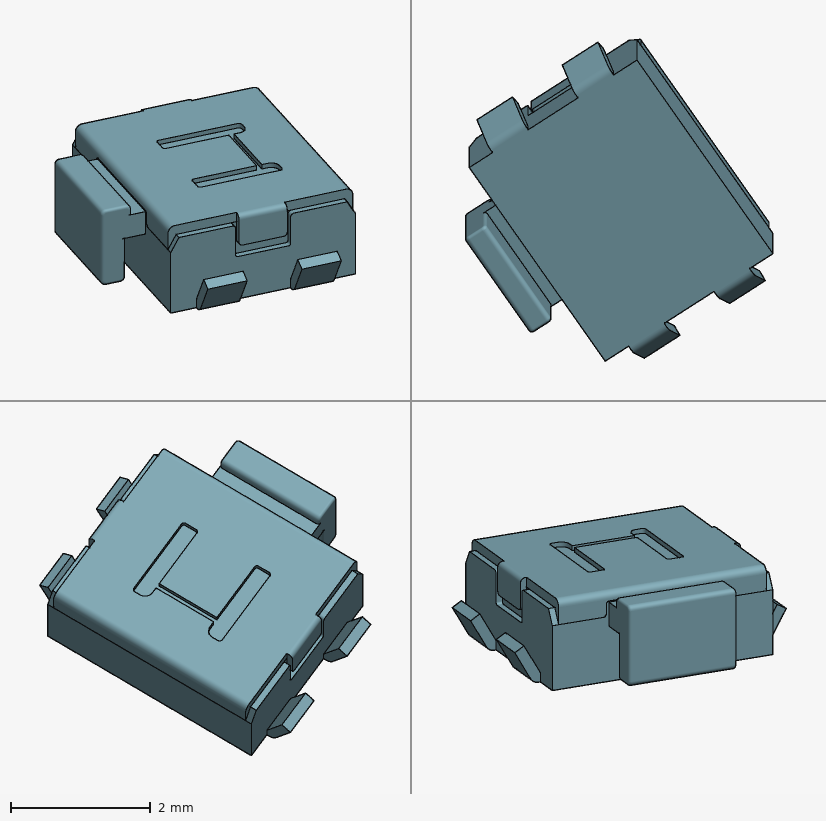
import cadquery as cq
import math

leg_span = 4.31
height = 1.36
base_width = 3.5
base_depth = 2.895

cover_inset = 0.1
cover_thickness = 0.15
cover_edge_radius = 0.11
skirt_drop = 0.37
skirt_slope_run = 0.13
notch_half_width = 0.892
notch_ceiling_drop = 0.135
notch_radius = 0.047

tab_width = 0.755
tab_drop = 0.495
tab_top_radius = 0.08
tab_corner_radius = 0.055
slot_half_width = 0.43
slot_drop = 0.67
slot_mouth_radius = 0.05
slot_corner_radius = 0.035

groove_depth = 0.075
strip_inner_x = 0.495
strip_outer_x = 0.76
strip_front_y = -0.575
strip_back_y = 0.75
strip_corner_radius = 0.04
strip_back_radius = 0.05
strip_inner_radius = 0.13
bar_front_y = 0.45
bar_back_y = 0.53

button_half_width = 0.855
button_reach = 0.685
stem_bottom = 0.845
head_bottom = 0.14
head_upper_gap = 0.22
head_lower_gap = 0.315
head_edge_radius = 0.075
head_end_radius = 0.045

leg_width = 0.615
leg_pitch = 1.475
leg_thickness = 0.17
leg_angle = math.radians(60)
leg_tip_rise = 0.51
leg_bend_radius = 0.14
leg_root = 0.085

half_width = base_width / 2
half_depth = base_depth / 2
front_y = -half_depth
cover_half_width = half_width - cover_inset
groove_heights = (height - groove_depth, height)
base_top = height - cover_thickness
skirt_bottom = height - skirt_drop
slope_y = half_depth - skirt_slope_run


def box(x_range, y_range, z_range):
    """Box spanning the three (low, high) ranges."""
    size = [high - low for low, high in (x_range, y_range, z_range)]
    corner = (x_range[0], y_range[0], z_range[0])
    return cq.Workplane("XY").box(*size, centered=False).translate(corner)


def flared_notch(plane, half_opening, mouth, floor, flare, corner):
    """Sketch a notch between heights mouth and floor: rounded-out lips, rounded-in corners."""
    inward = 1 if floor > mouth else -1
    bulge = 1 - math.sqrt(0.5)
    lip = mouth + inward * flare
    lip_middle = mouth + inward * flare * bulge
    turn = floor - inward * corner
    turn_middle = floor - inward * corner * bulge
    return (
        cq.Workplane(plane)
        .moveTo(-half_opening - flare, mouth)
        .threePointArc((-half_opening - flare * bulge, lip_middle), (-half_opening, lip))
        .lineTo(-half_opening, turn)
        .threePointArc((-half_opening + corner * bulge, turn_middle), (-half_opening + corner, floor))
        .lineTo(half_opening - corner, floor)
        .threePointArc((half_opening - corner * bulge, turn_middle), (half_opening, turn))
        .lineTo(half_opening, lip)
        .threePointArc((half_opening + flare * bulge, lip_middle), (half_opening + flare, mouth))
        .close()
    )


def make_tab():
    """Tab on the -X end of the cover, flush with the side of the base."""
    tab = box((-half_width, -cover_half_width), (-tab_width / 2, tab_width / 2), (height - tab_drop, height))
    tab = tab.edges("|X and <Z").fillet(tab_corner_radius)
    return tab.edges("<X and >Z").fillet(tab_top_radius)


def make_strip():
    """Cutter for the groove strip on the +X side."""
    strip = box((strip_inner_x, strip_outer_x), (strip_front_y, strip_back_y), groove_heights)
    strip = strip.edges("|Z and <Y").fillet(strip_corner_radius)
    strip = strip.edges("|Z and >X and >Y").fillet(strip_back_radius)
    return strip.edges("|Z and <X and >Y").fillet(strip_inner_radius)


def make_cover():
    profile = [
        (-half_depth, skirt_bottom),
        (-slope_y, base_top),
        (slope_y, base_top),
        (half_depth, skirt_bottom),
        (half_depth, height),
        (-half_depth, height),
    ]
    cover = cq.Workplane("YZ").polyline(profile).close().extrude(cover_half_width, both=True)
    cover = cover.edges("|X and >Z").fillet(cover_edge_radius)

    notch = flared_notch(
        "XZ", notch_half_width, skirt_bottom, height - notch_ceiling_drop, notch_radius, notch_radius
    ).extrude(skirt_slope_run).translate((0, -slope_y, 0))
    cover = cover.cut(notch)

    tab = make_tab()
    cover = cover.union(tab).union(tab.mirror("YZ"))

    strip = make_strip()
    bar = box((-strip_inner_x, strip_inner_x), (bar_front_y, bar_back_y), groove_heights)
    return cover.cut(strip).cut(strip.mirror("YZ")).cut(bar)


def make_leg():
    """Leg on the -X side, centred on Y = 0."""
    tip_x = -leg_span / 2
    cos_a = math.cos(leg_angle)
    sin_a = math.sin(leg_angle)
    tip_inner_x = tip_x + leg_thickness * sin_a
    tip_inner_z = leg_tip_rise + leg_thickness * cos_a
    heel_x = tip_x + leg_tip_rise / math.tan(leg_angle)
    root_x = -half_width + leg_root
    crotch_z = tip_inner_z - (-half_width - tip_inner_x) * math.tan(leg_angle)
    outline = [
        (root_x, 0),
        (heel_x, 0),
        (tip_x, leg_tip_rise),
        (tip_inner_x, tip_inner_z),
        (-half_width, crotch_z),
        (root_x, crotch_z),
    ]
    leg = cq.Workplane("XZ").polyline(outline).close().extrude(leg_width / 2, both=True)
    heel = cq.selectors.NearestToPointSelector((heel_x, 0, 0))
    return leg.edges("|Y").edges(heel).fillet(leg_bend_radius)


def make_button():
    head_front = front_y - button_reach
    lip_back = front_y - head_upper_gap
    plate_back = front_y - head_lower_gap
    profile = [
        (head_front, head_bottom),
        (head_front, height),
        (lip_back, height),
        (lip_back, stem_bottom),
        (plate_back, stem_bottom),
        (plate_back, head_bottom),
    ]
    head = cq.Workplane("YZ").polyline(profile).close().extrude(button_half_width, both=True)
    head = head.edges("|X and (>Z or <Z)").fillet(head_edge_radius)
    head = head.faces("<X or >X").edges().fillet(head_end_radius)

    stem = box(
        (-button_half_width, button_half_width),
        (head_front + head_edge_radius, front_y),
        (stem_bottom, base_top),
    )
    return head.union(stem)


def make_base(cover):
    profile = [
        (-half_depth, 0),
        (-half_depth, skirt_bottom),
        (-slope_y, base_top),
        (slope_y, base_top),
        (half_depth, skirt_bottom),
        (half_depth, 0),
    ]
    base = cq.Workplane("YZ").polyline(profile).close().extrude(half_width, both=True)

    wall_half_width = notch_half_width + notch_radius
    wall = box(
        (-wall_half_width, wall_half_width),
        (front_y, -slope_y),
        (skirt_bottom, height - notch_ceiling_drop),
    )
    base = base.union(wall.cut(cover))

    slot = flared_notch(
        "YZ", slot_half_width, base_top, height - slot_drop, slot_mouth_radius, slot_corner_radius
    ).extrude(cover_inset).translate((-half_width, 0, 0))
    base = base.cut(slot).cut(slot.mirror("YZ"))

    for leg_y in (-leg_pitch / 2, leg_pitch / 2):
        leg = make_leg().translate((0, leg_y, 0))
        base = base.union(leg).union(leg.mirror("YZ"))

    return base.union(make_button())


cover = make_cover()
base = make_base(cover)

result = cq.Compound.makeCompound([base.val(), cover.val()])